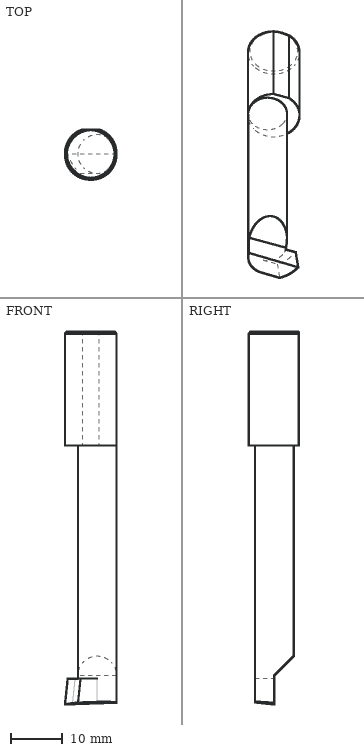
import cadquery as cq
import math

total_length = 72.0

shank_radius = 5.0
shank_length = 22.0
shank_flat_y = 4.75
shank_chamfer = 0.4

neck_radius = 3.75
neck_center_x = shank_radius - neck_radius

rake_face_y = 0.0
relief_corner_z = 5.6
relief_angle = 45.0

tooth_height = 5.0
tip_x = -shank_radius
side_clearance_angle = 6.0
tooth_heel_offset = 2.5
tooth_bend_offset = 1.45
tooth_bend_y = -2.7
flank_start_angle = 18.0

end_angle_x = 2.0
end_angle_y = 5.0

shank_bottom_z = total_length - shank_length


def rise(run, angle):
    """Height gained over a run on a slope of the given angle in degrees."""
    return run * math.tan(math.radians(angle))


def make_shank():
    shank = (
        cq.Workplane("XY", origin=(0, 0, shank_bottom_z))
        .circle(shank_radius)
        .extrude(shank_length)
        .faces(">Z")
        .chamfer(shank_chamfer)
    )
    flat_cutter = (
        cq.Workplane("XY", origin=(0, shank_flat_y + shank_radius, shank_bottom_z))
        .rect(2 * shank_radius, 2 * shank_radius)
        .extrude(shank_length)
    )
    return shank.cut(flat_cutter)


def make_neck():
    return cq.Workplane("XY").center(neck_center_x, 0).circle(neck_radius).extrude(shank_bottom_z)


def make_relief_cutter():
    """Prism along X that removes the +Y half of the neck below a sloped run-out."""
    reach = 2 * shank_radius
    slope_end_z = relief_corner_z + rise(reach, relief_angle)
    return (
        cq.Workplane("YZ")
        .moveTo(rake_face_y, 0)
        .lineTo(rake_face_y, relief_corner_z)
        .lineTo(rake_face_y + reach, slope_end_z)
        .lineTo(rake_face_y + reach, 0)
        .close()
        .extrude(shank_radius, both=True)
    )


def tooth_section(z):
    """Tooth outline at height z; it moves toward +X as the side clearance opens."""
    edge_x = tip_x + rise(z, side_clearance_angle)
    edge = cq.Vector(edge_x, rake_face_y, z)
    bend = cq.Vector(edge_x + tooth_bend_offset, tooth_bend_y, z)
    heel = cq.Vector(edge_x + tooth_heel_offset, -neck_radius, z)
    front = cq.Vector(neck_center_x, -neck_radius, z)
    back = cq.Vector(neck_center_x, rake_face_y, z)
    start = math.radians(flank_start_angle)
    start_direction = cq.Vector(math.sin(start), -math.cos(start), 0)
    return cq.Wire.assembleEdges(
        [
            cq.Edge.makeTangentArc(edge, start_direction, bend),
            cq.Edge.makeLine(bend, heel),
            cq.Edge.makeLine(heel, front),
            cq.Edge.makeLine(front, back),
            cq.Edge.makeLine(back, edge),
        ]
    )


def make_tooth():
    return cq.Workplane(cq.Solid.makeLoft([tooth_section(0), tooth_section(tooth_height)], True))


def make_end_cutter():
    """Block whose top is the end face, passing through the tip point."""
    block_size = 8 * shank_radius
    slope_x = rise(1, end_angle_x)
    slope_y = -rise(1, end_angle_y)
    end_plane = cq.Plane(
        origin=(tip_x, rake_face_y, 0),
        xDir=(0, 1, slope_y),
        normal=(-slope_x, -slope_y, 1),
    )
    return cq.Workplane(end_plane).rect(block_size, block_size).extrude(-shank_radius)


bar = make_neck().cut(make_relief_cutter()).union(make_tooth()).cut(make_end_cutter())
result = make_shank().union(bar)